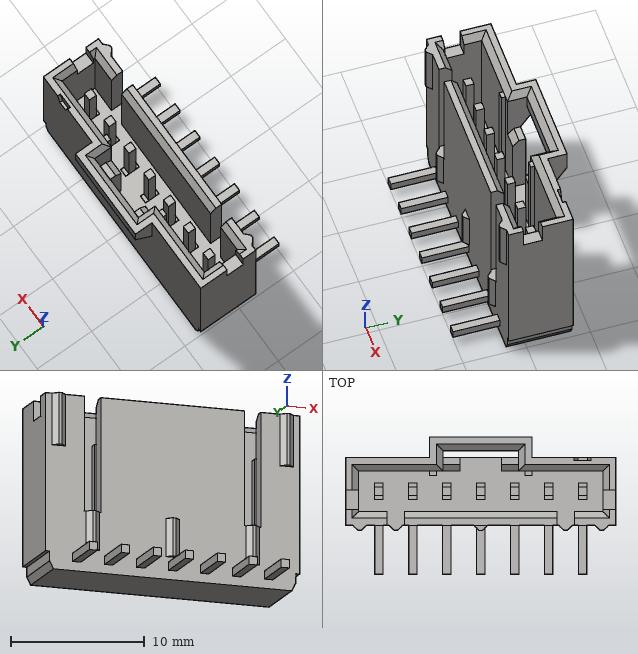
import cadquery as cq


LENGTH = 20.19
DEPTH = 5.075
HEIGHT = 13.59
FLOOR_Z = 4.70
END_WALL = 0.97
LONG_WALL = 1.03
MOUTH_CHAMFER = 0.50

FOOT_HEIGHT = 1.355
FOOT_INSET = 0.32
FOOT_CHAMFER_X = 0.31
FOOT_CHAMFER_Z = 0.60

BOX_WIDTH = 7.68
BOX_DEPTH = 1.525
BOX_WALL = LONG_WALL
BOX_REAR_HEIGHT = 1.55
BOX_HEIGHT = 3.75
WINDOW_SILL_Z = 9.84
GAP_WIDTH = 3.10

NOTCH_START_Y = 1.17
NOTCH_WIDTH = 1.48
NOTCH_DEPTH = 1.55
SLOT_WIDTH = 1.29
SLOT_X = 6.35

RIB_BASE = 1.06
RIB_TIP = 0.25
RIB_PROJECTION = 0.39
UPPER_RIB_X = 9.05
UPPER_RIB_LENGTH = 4.00
LOWER_RIB_BOTTOM_Z = 1.75

GUIDE_WIDTH = 0.53
GUIDE_PROJECTION = 0.32

MARK_TOP_WIDTH = 1.27
MARK_BOTTOM_WIDTH = 0.72
MARK_RECESS = 0.25
MARK_HEIGHT = 1.00

PIN_COUNT = 7
PITCH = 2.54
PIN_SIZE = 0.64
PIN_Y = 2.53
PIN_TOP_Z = 10.55
TAIL_LENGTH = 3.68
TAIL_BOTTOM_Z = 0.71
PAD_LENGTH = 1.24
PAD_HEIGHT = 0.10

CAVITY_LENGTH = LENGTH - 2 * END_WALL
CAVITY_DEPTH = DEPTH - 2 * LONG_WALL
CAVITY_HEIGHT = HEIGHT - FLOOR_Z
CAVITY_REAR_Y = DEPTH - LONG_WALL
BOX_INNER_WIDTH = BOX_WIDTH - 2 * BOX_WALL
BOX_INNER_REAR_Y = DEPTH + BOX_DEPTH - BOX_WALL
PIN_ONE_X = PITCH * (PIN_COUNT - 1) / 2


def block(center_x, width, start_y, depth, start_z, height):
    """Box centred on center_x that grows along +Y and +Z from its start corner."""
    return (
        cq.Workplane("XY")
        .box(width, depth, height, centered=(True, False, False))
        .translate((center_x, start_y, start_z))
    )


def flared_mouth(width, start_y, depth):
    """Pyramid-shaped cut that chamfers a rectangular opening in the top face."""
    return (
        cq.Workplane("XY", origin=(0, start_y + depth / 2, HEIGHT - MOUTH_CHAMFER))
        .rect(width, depth)
        .workplane(offset=MOUTH_CHAMFER)
        .rect(width + 2 * MOUTH_CHAMFER, depth + 2 * MOUTH_CHAMFER)
        .loft(ruled=True)
    )


def make_housing_block():
    half_top = LENGTH / 2
    half_foot = half_top - FOOT_INSET
    half_bottom = half_foot - FOOT_CHAMFER_X
    outline = [
        (half_bottom, 0),
        (half_foot, FOOT_CHAMFER_Z),
        (half_foot, FOOT_HEIGHT),
        (half_top, FOOT_HEIGHT),
        (half_top, HEIGHT),
    ]
    mirrored = [(-x, z) for x, z in reversed(outline)]
    return cq.Workplane("XZ").polyline(outline + mirrored).close().extrude(-DEPTH)


def make_polarising_box():
    """Box with a sloped underside; it overlaps the rear wall so that the two join."""
    outline = [
        (CAVITY_REAR_Y, HEIGHT - BOX_HEIGHT),
        (DEPTH, HEIGHT - BOX_HEIGHT),
        (DEPTH + BOX_DEPTH, HEIGHT - BOX_REAR_HEIGHT),
        (DEPTH + BOX_DEPTH, HEIGHT),
        (CAVITY_REAR_Y, HEIGHT),
    ]
    return cq.Workplane("YZ").polyline(outline).close().extrude(BOX_WIDTH / 2, both=True)


def cut_cavity(body):
    cavity = block(0, CAVITY_LENGTH, LONG_WALL, CAVITY_DEPTH, FLOOR_Z, CAVITY_HEIGHT)
    mouth = flared_mouth(CAVITY_LENGTH, LONG_WALL, CAVITY_DEPTH)
    return body.cut(cavity).cut(mouth)


def cut_polarising_window(body):
    """Opens the box to the cavity, above a chamfered sill in the rear wall."""
    inner_depth = BOX_INNER_REAR_Y - LONG_WALL
    window_height = HEIGHT - WINDOW_SILL_Z
    window = block(0, BOX_INNER_WIDTH, LONG_WALL, inner_depth, WINDOW_SILL_Z, window_height)
    mouth = flared_mouth(BOX_INNER_WIDTH, LONG_WALL, inner_depth)
    below_rear_wall = block(
        0, BOX_INNER_WIDTH, DEPTH, BOX_DEPTH, WINDOW_SILL_Z, HEIGHT - BOX_REAR_HEIGHT - WINDOW_SILL_Z
    )
    sill_chamfer = (
        cq.Workplane("YZ")
        .polyline(
            [
                (CAVITY_REAR_Y, WINDOW_SILL_Z),
                (CAVITY_REAR_Y + MOUTH_CHAMFER, WINDOW_SILL_Z),
                (CAVITY_REAR_Y, WINDOW_SILL_Z - MOUTH_CHAMFER),
            ]
        )
        .close()
        .extrude(BOX_INNER_WIDTH / 2, both=True)
    )
    return body.cut(window).cut(mouth).cut(below_rear_wall).cut(sill_chamfer)


def cut_sill_gap(body):
    """Gap through the middle of the sill, down to the cavity floor."""
    gap = block(0, GAP_WIDTH, CAVITY_REAR_Y, LONG_WALL, FLOOR_Z, WINDOW_SILL_Z - FLOOR_Z)
    return body.cut(gap)


def cut_end_notches(body):
    notch = block(0, LENGTH, NOTCH_START_Y, NOTCH_WIDTH, HEIGHT - NOTCH_DEPTH, NOTCH_DEPTH)
    return body.cut(notch)


def cut_front_slots(body):
    for side in (-1, 1):
        slot = block(side * SLOT_X, SLOT_WIDTH, 0, LONG_WALL, FLOOR_Z, CAVITY_HEIGHT)
        body = body.cut(slot)
    return body


def cut_pin_one_mark(body):
    outline = [
        (PIN_ONE_X - MARK_BOTTOM_WIDTH / 2, HEIGHT - MARK_HEIGHT),
        (PIN_ONE_X + MARK_BOTTOM_WIDTH / 2, HEIGHT - MARK_HEIGHT),
        (PIN_ONE_X + MARK_TOP_WIDTH / 2, HEIGHT),
        (PIN_ONE_X - MARK_TOP_WIDTH / 2, HEIGHT),
    ]
    mark = (
        cq.Workplane("XZ", origin=(0, DEPTH - MARK_RECESS, 0))
        .polyline(outline)
        .close()
        .extrude(-MARK_RECESS)
    )
    return body.cut(mark)


def make_crush_rib(center_x, bottom_z, top_z):
    outline = [
        (center_x - RIB_BASE / 2, 0),
        (center_x - RIB_TIP / 2, -RIB_PROJECTION),
        (center_x + RIB_TIP / 2, -RIB_PROJECTION),
        (center_x + RIB_BASE / 2, 0),
    ]
    return (
        cq.Workplane("XY", origin=(0, 0, bottom_z))
        .polyline(outline)
        .close()
        .extrude(top_z - bottom_z)
    )


def add_crush_ribs(body):
    for x in (-UPPER_RIB_X, UPPER_RIB_X):
        body = body.union(make_crush_rib(x, HEIGHT - UPPER_RIB_LENGTH, HEIGHT))
    for x in (-SLOT_X, 0, SLOT_X):
        body = body.union(make_crush_rib(x, LOWER_RIB_BOTTOM_Z, FLOOR_Z))
    return body


def add_guide_ribs(body):
    guide_x = (BOX_WIDTH - GUIDE_WIDTH) / 2
    guide_y = CAVITY_REAR_Y - GUIDE_PROJECTION
    guide_height = CAVITY_HEIGHT - MOUTH_CHAMFER
    for side in (-1, 1):
        guide = block(side * guide_x, GUIDE_WIDTH, guide_y, GUIDE_PROJECTION, FLOOR_Z, guide_height)
        body = body.union(guide)
    return body


def make_pin(x):
    """Right-angle pin: a tail out of the front face, an upright contact and its seating pad."""
    tail_depth = TAIL_LENGTH + PIN_Y + PIN_SIZE / 2
    tail = block(x, PIN_SIZE, -TAIL_LENGTH, tail_depth, TAIL_BOTTOM_Z, PIN_SIZE)
    contact_height = PIN_TOP_Z - TAIL_BOTTOM_Z
    contact = block(x, PIN_SIZE, PIN_Y - PIN_SIZE / 2, PIN_SIZE, TAIL_BOTTOM_Z, contact_height)
    pad = block(x, PIN_SIZE, PIN_Y - PAD_LENGTH / 2, PAD_LENGTH, FLOOR_Z, PAD_HEIGHT)
    return tail.union(contact).union(pad)


def add_pins(body):
    for index in range(PIN_COUNT):
        body = body.union(make_pin(PIN_ONE_X - index * PITCH))
    return body


housing = make_housing_block().union(make_polarising_box())
housing = cut_cavity(housing)
housing = cut_polarising_window(housing)
housing = cut_sill_gap(housing)
housing = cut_end_notches(housing)
housing = cut_front_slots(housing)
housing = cut_pin_one_mark(housing)
housing = add_crush_ribs(housing)
housing = add_guide_ribs(housing)
result = add_pins(housing)